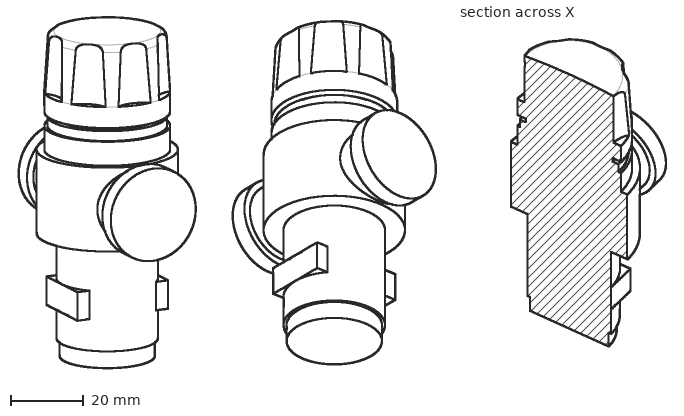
import cadquery as cq
import math

TAIL_RADIUS = 13.2
BARREL_RADIUS = 14.0
BODY_RADIUS = 19.5
COLLAR_RADIUS = 17.4
UPPER_COLLAR_RADIUS = 16.5
NECK_RADIUS = 14.6

TAIL_TOP = 5.0
BARREL_TOP = 35.0
BODY_TOP = 58.9
COLLAR_TOP = 65.8
UPPER_COLLAR_TOP = 68.6
NECK_TOP = 69.7

PORT_SPAN = 56.0
PORT_HEIGHT = (BARREL_TOP + BODY_TOP) / 2
PORT_PIPE_RADIUS = 11.2
PORT_FLANGE_RADIUS = TAIL_RADIUS
PORT_FLANGE_THICKNESS = 5.1

PAD_WIDTH = 19.0
PAD_BOTTOM = 14.0
PAD_HEIGHT = 8.1

KNOB_RADIUS = COLLAR_RADIUS
KNOB_SKIRT_TOP = 75.7
KNOB_TOP = 93.4
DOME_RISE = 0.8
KNOB_TAPER_ANGLE = 3.5
KNOB_EDGE_FILLET = 1.9
FLUTE_COUNT = 8
FLUTE_RADIUS = 8.1
FLUTE_FLOOR_RADIUS = 14.9


def cylinder(radius, bottom, top):
    return cq.Workplane("XY").workplane(offset=bottom).circle(radius).extrude(top - bottom)


def make_stem():
    stem = cylinder(TAIL_RADIUS, 0, TAIL_TOP)
    shoulder = TAIL_TOP
    for radius, top in (
        (BARREL_RADIUS, BARREL_TOP),
        (BODY_RADIUS, BODY_TOP),
        (COLLAR_RADIUS, COLLAR_TOP),
        (UPPER_COLLAR_RADIUS, UPPER_COLLAR_TOP),
        (NECK_RADIUS, NECK_TOP),
    ):
        stem = stem.union(cylinder(radius, shoulder, top))
        shoulder = top
    return stem


def make_ports():
    """Pipe through the body along X with a flange on each end."""
    end_plane = cq.Workplane("YZ", origin=(-PORT_SPAN / 2, 0, PORT_HEIGHT))
    pipe = end_plane.circle(PORT_PIPE_RADIUS).extrude(PORT_SPAN)
    flange = end_plane.circle(PORT_FLANGE_RADIUS).extrude(PORT_FLANGE_THICKNESS)
    return pipe.union(flange).union(flange.mirror("YZ"))


def make_pads():
    """One block across the barrel, whose ends stand out as two flat pads."""
    base = cq.Workplane("XY").workplane(offset=PAD_BOTTOM)
    return base.rect(PAD_WIDTH, 2 * BARREL_RADIUS).extrude(PAD_HEIGHT)


def make_knob():
    rim_height = KNOB_TOP - DOME_RISE
    taper_inset = (rim_height - KNOB_SKIRT_TOP) * math.tan(math.radians(KNOB_TAPER_ANGLE))
    rim_radius = KNOB_RADIUS - taper_inset
    dome_radius = (rim_radius**2 + DOME_RISE**2) / (2 * DOME_RISE)
    dome_mid_radius = rim_radius / 2
    dome_mid_height = KNOB_TOP - dome_radius + math.sqrt(dome_radius**2 - dome_mid_radius**2)

    knob = (
        cq.Workplane("XZ")
        .moveTo(0, NECK_TOP)
        .lineTo(KNOB_RADIUS, NECK_TOP)
        .lineTo(KNOB_RADIUS, KNOB_SKIRT_TOP)
        .lineTo(rim_radius, rim_height)
        .threePointArc((dome_mid_radius, dome_mid_height), (0, KNOB_TOP))
        .close()
        .revolve(360, (0, 0, 0), (0, 1, 0))
    )
    knob = knob.faces(">Z").edges("<Z").fillet(KNOB_EDGE_FILLET)

    flutes = (
        cq.Workplane("XY")
        .workplane(offset=KNOB_SKIRT_TOP)
        .polarArray(FLUTE_FLOOR_RADIUS + FLUTE_RADIUS, 0, 360, FLUTE_COUNT)
        .circle(FLUTE_RADIUS)
        .extrude(KNOB_TOP - KNOB_SKIRT_TOP)
    )
    return knob.cut(flutes)


result = make_stem().union(make_ports()).union(make_pads()).union(make_knob())